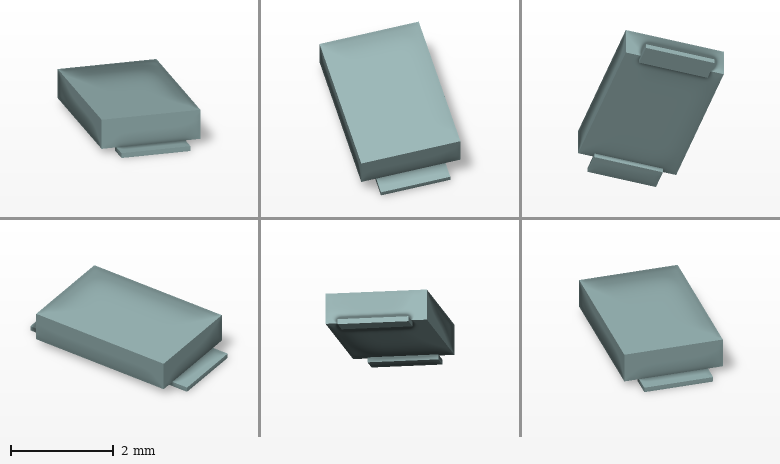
import cadquery as cq

overall_length = 3.69
overall_height = 0.7

housing_length = 3.0
housing_width = 2.0

lead_length = 0.44
lead_width = 1.4
lead_thickness = 0.1

housing_height = overall_height - lead_thickness
lead_center_x = (overall_length - lead_length) / 2


def make_housing():
    """Block whose underside lies on the top of the leads."""
    return (
        cq.Workplane("XY")
        .workplane(offset=lead_thickness)
        .box(housing_length, housing_width, housing_height, centered=(True, True, False))
    )


def make_lead(side):
    """Flat lead at the -X end (side = -1) or the +X end (side = 1)."""
    return (
        cq.Workplane("XY")
        .center(side * lead_center_x, 0)
        .box(lead_length, lead_width, lead_thickness, centered=(True, True, False))
    )


housing = make_housing()
leads = [make_lead(side) for side in (-1, 1)]

result = cq.Compound.makeCompound([housing.val(), *[lead.val() for lead in leads]])